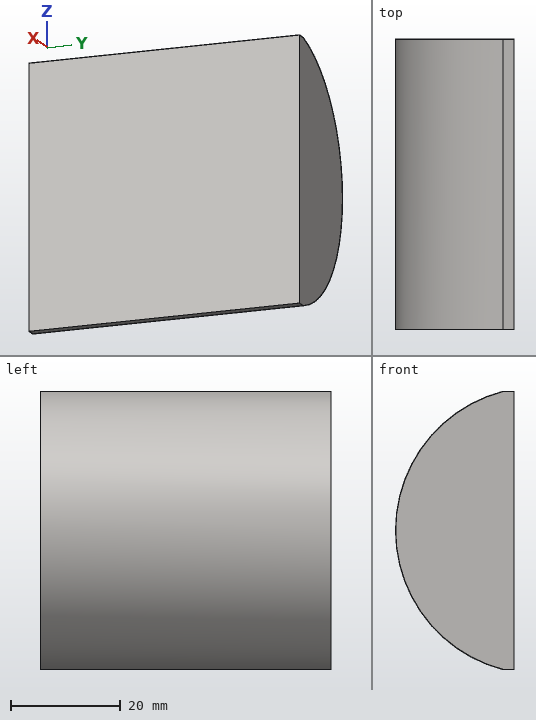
import cadquery as cq

length = 53.0
height = 50.8
depth = 21.6
flat_depth = 2.0

half_height = height / 2
back_x = depth / 2
crown_x = -depth / 2
arc_end_x = back_x - flat_depth

result = (
    cq.Workplane("XZ")
    .moveTo(back_x, -half_height)
    .lineTo(back_x, half_height)
    .lineTo(arc_end_x, half_height)
    .threePointArc((crown_x, 0), (arc_end_x, -half_height))
    .close()
    .extrude(length / 2, both=True)
)